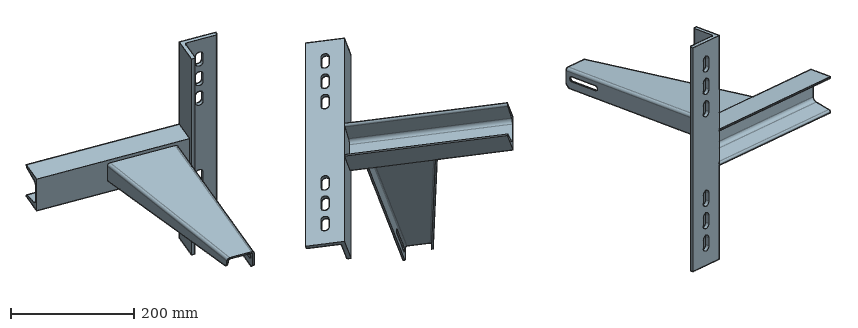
import cadquery as cq
import math


post_height = 400.0
post_depth = 65.0
post_width = 50.0
post_thickness = 7.0
post_radius = 3.0

slot_width = 13.5
slot_length = 28.0
slot_pitch = 40.0
slot_end_distance = 40.0
slots_per_group = 3

channel_length = 270.5
channel_width = 42.5
channel_height = 65.0
web_thickness = 5.0
flange_tip_thickness = 4.5
flange_root_thickness = 11.0
flange_tip_radius = 4.0
flange_root_radius = 7.5

arm_top = 26.0
arm_height = 35.0
arm_end = 351.0
arm_rear = -20.5
arm_thickness = 3.0
bend_radius = 5.0
fold_root_y = -140.5
fold_tip_y = -64.0
rear_corner_chamfer = 6.5
front_tip_height = 17.5
front_end_upper = 9.0
front_end_setback = 3.0
relief_height = 9.0
relief_length = 60.0
relief_end = 343.0
relief_z = 9.0

arm_bottom = arm_top - arm_height
arm_length = arm_end - channel_width


def make_post():
    section = (
        cq.Workplane("XY")
        .workplane(offset=-post_height / 2)
        .polyline([
            (0, 0),
            (post_width, 0),
            (post_width, post_thickness),
            (post_thickness, post_thickness),
            (post_thickness, post_depth),
            (0, post_depth),
        ])
        .close()
    )
    post = section.extrude(post_height)
    rounded_edges = [
        (post_width, post_thickness),
        (post_thickness, post_thickness),
        (post_thickness, post_depth),
    ]
    for x, y in rounded_edges:
        post = post.edges(cq.selectors.NearestToPointSelector((x, y, 0))).fillet(post_radius)

    slot_centres = []
    for i in range(slots_per_group):
        z = post_height / 2 - slot_end_distance - i * slot_pitch
        slot_centres += [(post_depth / 2, z), (post_depth / 2, -z)]
    slots = (
        cq.Workplane("YZ")
        .pushPoints(slot_centres)
        .slot2D(slot_length, slot_width, 90)
        .extrude(post_thickness)
    )
    return post.cut(slots)


def make_channel():
    half = channel_height / 2
    web_x = channel_width - web_thickness
    tip_z = half - flange_tip_thickness
    root_z = half - flange_root_thickness
    channel = (
        cq.Workplane("XZ")
        .polyline([
            (0, half),
            (channel_width, half),
            (channel_width, -half),
            (0, -half),
            (0, -tip_z),
            (web_x, -root_z),
            (web_x, root_z),
            (0, tip_z),
        ])
        .close()
        .extrude(channel_length)
    )
    for x, z, radius in [(0, tip_z, flange_tip_radius), (web_x, root_z, flange_root_radius)]:
        for side in (1, -1):
            corner = cq.selectors.NearestToPointSelector((x, -channel_length / 2, side * z))
            channel = channel.edges(corner).fillet(radius)
    return channel


def folded_flange(fold_start, outward, along, length):
    """Quarter bend and upright flange, extruded along its fold line."""
    inner_radius = bend_radius - arm_thickness
    outer_mid = bend_radius * math.sqrt(0.5)
    inner_mid = inner_radius * math.sqrt(0.5)
    plane = cq.Plane(origin=fold_start, xDir=outward, normal=along)
    return (
        cq.Workplane(plane)
        .moveTo(0, 0)
        .threePointArc((outer_mid, outer_mid - bend_radius), (bend_radius, -bend_radius))
        .lineTo(bend_radius, -arm_height)
        .lineTo(inner_radius, -arm_height)
        .lineTo(inner_radius, -bend_radius)
        .threePointArc((inner_mid, inner_mid - bend_radius), (0, -arm_thickness))
        .close()
        .extrude(length)
    )


def make_rear_flange():
    flange = folded_flange(
        (channel_width, arm_rear - bend_radius, arm_top), (0, 1, 0), (1, 0, 0), arm_length
    )
    lower_corner = cq.selectors.NearestToPointSelector((arm_end, arm_rear, arm_bottom))
    flange = flange.edges("|Y").edges(lower_corner).chamfer(rear_corner_chamfer)
    relief = (
        cq.Workplane("XZ", origin=(0, arm_rear, 0))
        .center(relief_end - relief_length / 2, relief_z)
        .slot2D(relief_length, relief_height)
        .extrude(arm_thickness)
    )
    return flange.cut(relief)


def make_front_flange():
    slant = math.atan2(fold_tip_y - fold_root_y, arm_length)
    length = arm_length / math.cos(slant) + bend_radius
    flange = folded_flange(
        (arm_end, fold_tip_y, arm_top),
        (math.sin(slant), -math.cos(slant), 0),
        (-math.cos(slant), -math.sin(slant), 0),
        length,
    )
    bend_end = arm_end + bend_radius * math.sin(slant)
    bend_bottom = arm_top - bend_radius
    outline = (
        cq.Workplane("XZ")
        .polyline([
            (channel_width, arm_top),
            (bend_end, arm_top),
            (bend_end, bend_bottom),
            (arm_end, bend_bottom),
            (arm_end, arm_top - front_end_upper),
            (arm_end - front_end_setback, arm_top - front_tip_height),
            (channel_width, arm_bottom),
        ])
        .close()
        .extrude(channel_length)
    )
    return flange.intersect(outline)


def make_bracket():
    plate = (
        cq.Workplane("XY", origin=(0, 0, arm_top - arm_thickness))
        .polyline([
            (channel_width, arm_rear - bend_radius),
            (arm_end, arm_rear - bend_radius),
            (arm_end, fold_tip_y),
            (channel_width, fold_root_y),
        ])
        .close()
        .extrude(arm_thickness)
    )
    return plate.union(make_rear_flange()).union(make_front_flange())


post = make_post()
channel = make_channel()
bracket = make_bracket()

bodies = [post, channel, bracket]
result = cq.Compound.makeCompound([body.solids().val() for body in bodies])